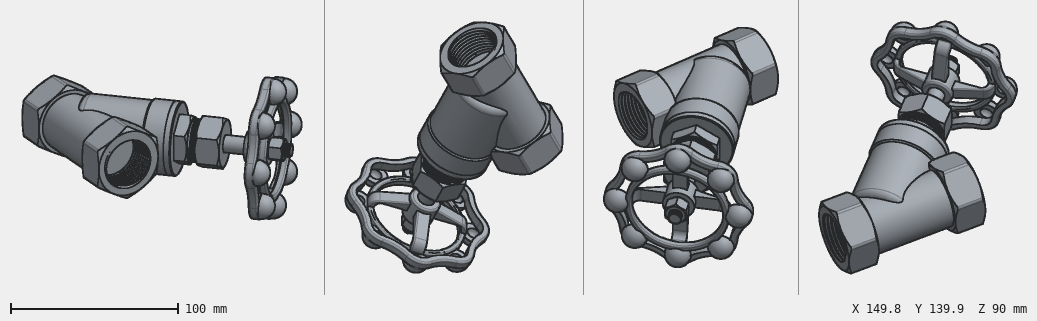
import cadquery as cq
import math

SPINDLE = cq.Plane(origin=(0, 0, 0), xDir=(1, -1, 0), normal=(1, 1, 0))

BODY_LENGTH = 90.8
INLET_X = -30.38
PIPE_RADIUS = 18.0
END_HEX_FLATS = 41.0
END_HEX_WIDTH = 20.0
END_HEX_CORNER_ROUND = 2.0
END_HEX_FACE_RADIUS = 20.45
SOCKET_DEPTH = 19.5
SOCKET_RADIUS = 14.75
SOCKET_PITCH = 2.309
SOCKET_GROOVE_DEPTH = 1.3

BARREL_RADIUS = 21.5
BARREL_BOTTOM = 2.3
BARREL_BOTTOM_ROUND = 4.5
COLLAR_RADIUS = 22.5
COLLAR_BOTTOM = 45.0
BODY_TOP = 58.8

FLANGE_TOP = 63.0
FLANGE_CHAMFER = 0.6
BONNET_HEX_FLATS = 28.0
BONNET_HEX_TOP = 71.1
BONNET_HEX_FACE_RADIUS = 13.8
NECK_RADIUS = 13.0
NECK_PITCH = 1.5
NECK_GROOVE_DEPTH = 0.85

GLAND_BOTTOM = 76.1
GLAND_TOP = 91.2
GLAND_FLATS = 29.0
GLAND_FACE_RADIUS = 14.3
GLAND_ROOF = 5.0

STEM_RADIUS = 5.35
STEM_THREAD_RADIUS = 4.0
STEM_PITCH = 1.25
STEM_GROOVE_DEPTH = 0.7
STEM_TOP = 132.1

HUB_RADIUS = 9.6
HUB_BOTTOM = 104.7
HUB_TOP = 119.1
HUB_ROUND = 1.2
RIM_RADIUS = 45.0
RIM_WIDTH = 4.3
RIM_BOTTOM = 114.6
WHEEL_PLANE = 120.6
RIM_ROUND = 1.2
LOBES = 8
LOBE_ARC_RADIUS = 12.6
LOBE_ARC_HALF_ANGLE = 40.3
KNOB_RADIUS = 8.0
KNOB_CIRCLE_RADIUS = RIM_RADIUS - KNOB_RADIUS
KNOB_DIMPLE_RADIUS = 4.0
RING_OUTER_RADIUS = 31.6
RING_INNER_RADIUS = 27.9
RING_BOTTOM = 119.2
RING_TOP = 124.2
RING_ROUND = 1.0
SPOKES = 4
SPOKE_WIDTH = 8.8
SPOKE_UPPER = 114.3
SPOKE_LOWER = 108.0
SPOKE_SLOPE = 16.3
SPOKE_OUTER_ROUND = 7.0
SPOKE_INNER_ROUND = 4.0
SPOKE_EDGE_ROUND = 0.8

HAND_NUT_FLATS = 13.0
HAND_NUT_TOP = 128.0
HAND_NUT_FACE_RADIUS = 6.1

HEX_CHAMFER_ANGLE = 30.0
GROOVE_WIDTH_PER_PITCH = 0.92
GROOVE_OVERLAP = 0.1




def disc(radius, bottom, top):
    return cq.Workplane("XY").workplane(offset=bottom).circle(radius).extrude(top - bottom)


def hexagon(flats, bottom, top, face_radius, corner_round=0.0):
    """Hexagonal prism along Z with a corner on Y and both ends coned down to face_radius."""
    corner_radius = flats / math.sqrt(3)
    prism = (
        cq.Workplane("XY")
        .workplane(offset=bottom)
        .polygon(6, 2 * corner_radius)
        .extrude(top - bottom)
        .rotate((0, 0, 0), (0, 0, 1), 90)
    )
    if corner_round:
        prism = prism.edges("|Z").fillet(corner_round)
    drop = (corner_radius - face_radius) * math.tan(math.radians(HEX_CHAMFER_ANGLE))
    envelope = (
        cq.Workplane("XZ")
        .polyline([
            (0, bottom),
            (face_radius, bottom),
            (corner_radius, bottom + drop),
            (corner_radius, top - drop),
            (face_radius, top),
            (0, top),
        ])
        .close()
        .revolve(360, (0, 0), (0, 1))
    )
    return prism.intersect(envelope)


def helical_groove(radius, depth, pitch, bottom, top):
    """Helical V cutter: its tip is depth outside radius, or inside it when depth is negative."""
    overlap = math.copysign(GROOVE_OVERLAP, depth)
    half_width = GROOVE_WIDTH_PER_PITCH * pitch / 2
    helix = cq.Wire.makeHelix(pitch, top - bottom, radius).moved(cq.Location((0, 0, bottom)))
    profile = (
        cq.Workplane("XZ")
        .polyline([
            (radius - overlap, bottom - half_width),
            (radius + depth, bottom),
            (radius - overlap, bottom + half_width),
        ])
        .close()
    )
    return profile.sweep(cq.Workplane(obj=helix), isFrenet=True)


def on_spindle(part):
    return cq.Workplane(obj=part.val().moved(cq.Location(SPINDLE)))


def along_pipe(part):
    """Turn a part built along Z so that it lies along X, starting at the inlet end."""
    return part.rotate((0, 0, 0), (0, 1, 0), 90).translate((INLET_X, 0, 0))


def make_barrel():
    collar_step = COLLAR_RADIUS - BARREL_RADIUS
    barrel = disc(BARREL_RADIUS, BARREL_BOTTOM, BODY_TOP).faces("<Z").edges().fillet(BARREL_BOTTOM_ROUND)
    collar = disc(COLLAR_RADIUS, COLLAR_BOTTOM, BODY_TOP).faces("<Z").edges().chamfer(collar_step)
    return barrel.union(collar)


def make_end_hexagon(bottom):
    return hexagon(
        END_HEX_FLATS, bottom, bottom + END_HEX_WIDTH, END_HEX_FACE_RADIUS, END_HEX_CORNER_ROUND
    ).rotate((0, 0, 0), (0, 0, 1), 90)


def make_body():
    pipe = disc(PIPE_RADIUS, 0, BODY_LENGTH)
    pipe = pipe.union(make_end_hexagon(0)).union(make_end_hexagon(BODY_LENGTH - END_HEX_WIDTH))
    body = along_pipe(pipe).union(on_spindle(make_barrel()))
    bore = disc(SOCKET_RADIUS, 0, SOCKET_DEPTH)
    half_pitch = SOCKET_PITCH / 2
    groove = helical_groove(
        SOCKET_RADIUS, SOCKET_GROOVE_DEPTH, SOCKET_PITCH, -half_pitch, SOCKET_DEPTH - half_pitch
    )
    middle = BODY_LENGTH / 2
    for cutter in (bore, groove):
        opposite = cutter.rotate((0, 0, middle), (0, 1, middle), 180)
        body = body.cut(along_pipe(cutter)).cut(along_pipe(opposite))
    return body


def make_bonnet():
    neck_top = GLAND_TOP - GLAND_ROOF
    flange = disc(COLLAR_RADIUS, BODY_TOP, FLANGE_TOP).faces(">Z").edges().chamfer(FLANGE_CHAMFER)
    hex_part = hexagon(BONNET_HEX_FLATS, BODY_TOP, BONNET_HEX_TOP, BONNET_HEX_FACE_RADIUS)
    neck = disc(NECK_RADIUS, BONNET_HEX_TOP, neck_top)
    groove_bottom = BONNET_HEX_TOP + NECK_PITCH / 2
    groove_top = GLAND_BOTTOM + NECK_PITCH
    groove = helical_groove(NECK_RADIUS, -NECK_GROOVE_DEPTH, NECK_PITCH, groove_bottom, groove_top)
    bonnet = flange.union(hex_part).union(neck.cut(groove))
    return bonnet.cut(disc(STEM_RADIUS, BODY_TOP, neck_top))


def make_gland_nut():
    nut = hexagon(GLAND_FLATS, GLAND_BOTTOM, GLAND_TOP, GLAND_FACE_RADIUS)
    nut = nut.cut(disc(NECK_RADIUS, GLAND_BOTTOM, GLAND_TOP - GLAND_ROOF))
    return nut.cut(disc(STEM_RADIUS, GLAND_BOTTOM, GLAND_TOP))


def make_stem():
    stem = disc(STEM_RADIUS, BODY_TOP, HUB_BOTTOM).union(disc(STEM_THREAD_RADIUS, HUB_BOTTOM, STEM_TOP))
    groove = helical_groove(STEM_THREAD_RADIUS, -STEM_GROOVE_DEPTH, STEM_PITCH, HAND_NUT_TOP, STEM_TOP)
    return stem.cut(groove)


def polar(radius, degrees):
    angle = math.radians(degrees)
    return (radius * math.cos(angle), radius * math.sin(angle))


def lobed_outline(plane):
    """Closed wavy outline: convex arcs over the lobes joined by tangent concave arcs."""
    lobe_step = 360 / LOBES
    lobe_centre = RIM_RADIUS - LOBE_ARC_RADIUS
    bend = math.radians(LOBE_ARC_HALF_ANGLE)
    end_x = lobe_centre + LOBE_ARC_RADIUS * math.cos(bend)
    end_y = LOBE_ARC_RADIUS * math.sin(bend)
    end_radius = math.hypot(end_x, end_y)
    end_angle = math.degrees(math.atan2(end_y, end_x))
    half_gap = math.radians(lobe_step / 2 - end_angle)
    turn = bend - math.radians(lobe_step / 2)
    sag = end_radius * math.sin(half_gap) * math.tan(turn / 2)
    valley_radius = end_radius * math.cos(half_gap) - sag
    outline = plane.moveTo(*polar(end_radius, -end_angle))
    for lobe in range(LOBES):
        middle = lobe * lobe_step
        outline = outline.threePointArc(polar(RIM_RADIUS, middle), polar(end_radius, middle + end_angle))
        outline = outline.threePointArc(
            polar(valley_radius, middle + lobe_step / 2),
            polar(end_radius, middle + lobe_step - end_angle),
        )
    return outline.close()


def make_rim():
    """Wavy rim, rounded outside, kept square where the knobs stand on it."""
    plane = cq.Workplane("XY").workplane(offset=RIM_BOTTOM)
    height = WHEEL_PLANE - RIM_BOTTOM
    blank = lobed_outline(plane).extrude(height)
    rim = blank.edges("not |Z").fillet(RIM_ROUND)
    seat = disc(KNOB_RADIUS, RIM_BOTTOM + RIM_ROUND, WHEEL_PLANE).translate((KNOB_CIRCLE_RADIUS, 0, 0))
    seat = seat.intersect(blank)
    for lobe in range(LOBES):
        rim = rim.union(seat.rotate((0, 0, 0), (0, 0, 1), lobe * 360 / LOBES))
    return rim.cut(lobed_outline(plane).offset2D(-RIM_WIDTH).extrude(height))


def make_knob():
    """Hollow half ball, open towards the body."""
    ball = cq.Workplane("XY").sphere(KNOB_RADIUS).cut(cq.Workplane("XY").sphere(KNOB_DIMPLE_RADIUS))
    upper_half = disc(KNOB_RADIUS, 0, KNOB_RADIUS)
    return ball.intersect(upper_half).translate((KNOB_CIRCLE_RADIUS, 0, WHEEL_PLANE))


def make_ring():
    ring = disc(RING_OUTER_RADIUS, RING_BOTTOM, RING_TOP).cut(disc(RING_INNER_RADIUS, RING_BOTTOM, RING_TOP))
    return ring.edges("%CIRCLE").fillet(RING_ROUND)


def make_spoke():
    """Spoke that rises from the hub towards the ring and turns up into it."""
    slope = math.tan(math.radians(SPOKE_SLOPE))
    foot = HUB_RADIUS / 2
    outer_corner = (RING_OUTER_RADIUS, SPOKE_LOWER + slope * (RING_OUTER_RADIUS - HUB_RADIUS))
    inner_corner = (RING_INNER_RADIUS, SPOKE_UPPER)
    top = WHEEL_PLANE + RING_ROUND
    spoke = (
        cq.Workplane("XZ")
        .polyline([
            (foot, SPOKE_LOWER - slope * (HUB_RADIUS - foot)),
            outer_corner,
            (RING_OUTER_RADIUS, top),
            (RING_INNER_RADIUS, top),
            inner_corner,
            (foot, SPOKE_UPPER),
        ])
        .close()
        .extrude(SPOKE_WIDTH / 2, both=True)
    )
    for (x, z), bend in ((outer_corner, SPOKE_OUTER_ROUND), (inner_corner, SPOKE_INNER_ROUND)):
        spoke = spoke.edges(cq.selectors.NearestToPointSelector((x, 0, z))).fillet(bend)
    return spoke.faces(">X").edges("|Z").fillet(SPOKE_EDGE_ROUND)


def make_wheel():
    wheel = make_rim().union(make_ring())
    knob = make_knob()
    for lobe in range(LOBES):
        wheel = wheel.union(knob.rotate((0, 0, 0), (0, 0, 1), lobe * 360 / LOBES))
    wheel = wheel.union(disc(HUB_RADIUS, HUB_BOTTOM, HUB_TOP).faces("<Z").edges().fillet(HUB_ROUND))
    spoke = make_spoke()
    for index in range(SPOKES):
        wheel = wheel.union(spoke.rotate((0, 0, 0), (0, 0, 1), index * 360 / SPOKES))
    return wheel.cut(disc(STEM_THREAD_RADIUS, HUB_BOTTOM, HUB_TOP))


def make_hand_nut():
    nut = hexagon(HAND_NUT_FLATS, HUB_TOP, HAND_NUT_TOP, HAND_NUT_FACE_RADIUS)
    return nut.cut(disc(STEM_THREAD_RADIUS, HUB_TOP, HAND_NUT_TOP))


body = make_body()
bonnet = on_spindle(make_bonnet())
gland_nut = on_spindle(make_gland_nut())
stem = on_spindle(make_stem())
wheel = on_spindle(make_wheel())
hand_nut = on_spindle(make_hand_nut())

result = cq.Compound.makeCompound(
    [body.val(), bonnet.val(), gland_nut.val(), stem.val(), wheel.val(), hand_nut.val()]
)